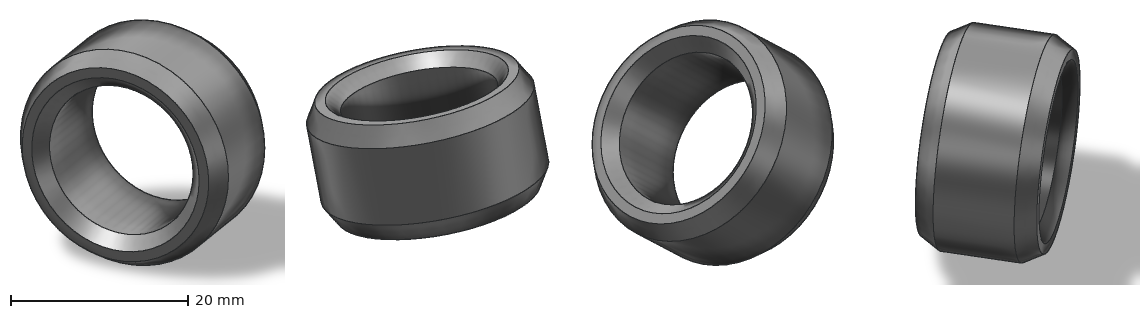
import cadquery as cq
import math

outer_diameter = 26.1
bore_diameter = 18.0
width = 14.0
outer_bevel_angle = 30.0
outer_bevel_length = 2.33
inner_bevel = 1.5

outer_radius = outer_diameter / 2
bore_radius = bore_diameter / 2
outer_bevel_slope = math.tan(math.radians(outer_bevel_angle))
face_outer_radius = outer_radius - outer_bevel_length * outer_bevel_slope
face_inner_radius = bore_radius + inner_bevel
half_width = width / 2


def ring_section():
    """Closed half section in the XY plane, bevelled at all four corners."""
    outer_land = half_width - outer_bevel_length
    bore_land = half_width - inner_bevel
    return (
        cq.Workplane("XY")
        .moveTo(face_inner_radius, -half_width)
        .lineTo(face_outer_radius, -half_width)
        .lineTo(outer_radius, -outer_land)
        .lineTo(outer_radius, outer_land)
        .lineTo(face_outer_radius, half_width)
        .lineTo(face_inner_radius, half_width)
        .lineTo(bore_radius, bore_land)
        .lineTo(bore_radius, -bore_land)
        .close()
    )


result = ring_section().revolve(360, (0, 0, 0), (0, 1, 0))